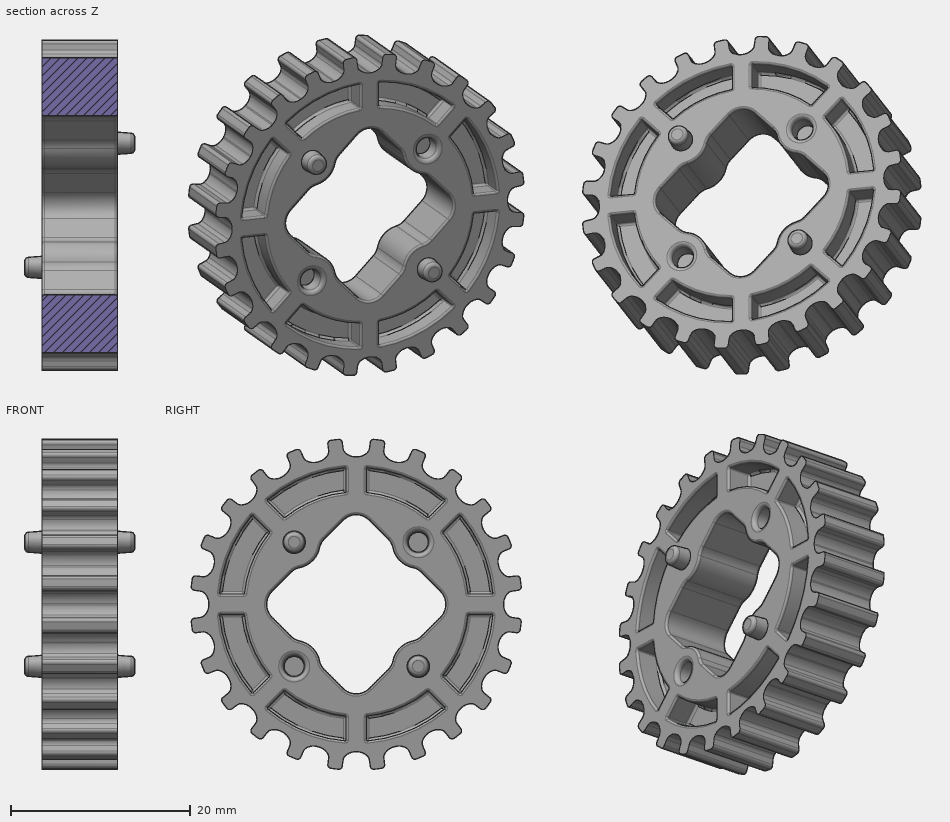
import cadquery as cq
import math

overall_length = 12.3
body_width = 8.45
half_width = body_width / 2
tooth_extent = 18.42

tooth_count = 24
groove_root_distance = 16.45
root_flat_half_width = 0.07
root_arc_radius = 1.7
root_arc_end = 1.18
shoulder_radius = 0.8
flank_tilt = math.radians(10)
groove_half_width = 1.55
tip_round = 0.4

bore_flat_distance = 7.65
bore_corner_reach = 10.0
bulge_radius = 2.9
bulge_blend = 1.85
mouth_round = 0.25

pin_offset = 6.93
pin_length = (overall_length - body_width) / 2
pin_base_radius = 1.25
pin_end_radius = 1.1
pin_end_round = 0.48
socket_radius = 1.2
socket_floor_radius = 1.1
socket_depth = 2.2
socket_mouth_round = 0.5

pocket_count = 8
pocket_inner_radius = 12.53
pocket_outer_radius = 15.3
pocket_depth = 3.0
spoke_half_width = 1.15
pocket_floor_round = 0.3
pocket_corner_round = 0.1

both_faces = (0, 180)


def turned(point, angle):
    """Rotate a (y, z) point about the pulley axis by an angle in radians."""
    y, z = point
    return (
        y * math.cos(angle) - z * math.sin(angle),
        y * math.sin(angle) + z * math.cos(angle),
    )


def mirrored(point):
    """Mirror a (y, z) point across the line y = 0."""
    return (-point[0], point[1])


def on_arc(center, radius, angle):
    """Point on a circle, with the angle measured from +z towards +y."""
    return (center[0] + radius * math.sin(angle), center[1] + radius * math.cos(angle))


def toothed_body():
    """Rim outline, made of one groove and one tooth tip per pitch, extruded over the body width."""
    pitch = 2 * math.pi / tooth_count

    root_center = (root_flat_half_width, groove_root_distance + root_arc_radius)
    root_end_angle = math.pi - math.asin((root_arc_end - root_flat_half_width) / root_arc_radius)
    root_start = (root_flat_half_width, groove_root_distance)
    root_middle = on_arc(root_center, root_arc_radius, (math.pi + root_end_angle) / 2)
    root_end = on_arc(root_center, root_arc_radius, root_end_angle)

    shoulder_center = on_arc(root_center, root_arc_radius - shoulder_radius, root_end_angle)
    shoulder_end_angle = math.pi / 2 + flank_tilt
    shoulder_middle = on_arc(shoulder_center, shoulder_radius, (root_end_angle + shoulder_end_angle) / 2)
    shoulder_end = on_arc(shoulder_center, shoulder_radius, shoulder_end_angle)

    tip_center = (groove_half_width + tip_round, tooth_extent - tip_round)
    tip_angle = math.atan2(*tip_center)
    outer_radius = math.hypot(*tip_center) + tip_round
    tip_start = (groove_half_width, tip_center[1])
    tip_middle = on_arc(tip_center, tip_round, (tip_angle - math.pi / 2) / 2)
    tip_end = on_arc(tip_center, tip_round, tip_angle)

    first_point = mirrored(tip_end)
    outline = cq.Workplane("YZ", origin=(-half_width, 0, 0)).moveTo(*first_point)
    for index in range(tooth_count):
        angle = -index * pitch

        def at(point):
            return turned(point, angle)

        outline = (
            outline.threePointArc(at(mirrored(tip_middle)), at(mirrored(tip_start)))
            .lineTo(*at(mirrored(shoulder_end)))
            .threePointArc(at(mirrored(shoulder_middle)), at(mirrored(root_end)))
            .threePointArc(at(mirrored(root_middle)), at(mirrored(root_start)))
            .lineTo(*at(root_start))
            .threePointArc(at(root_middle), at(root_end))
            .threePointArc(at(shoulder_middle), at(shoulder_end))
            .lineTo(*at(tip_start))
            .threePointArc(at(tip_middle), at(tip_end))
            .threePointArc(
                turned((0, outer_radius), angle - pitch / 2),
                turned(first_point, angle - pitch),
            )
        )
    return outline.close().extrude(body_width)


def bore_cutter():
    """Four equal sides; each runs from one corner round, past a bulge, to the next corner round."""
    diagonal = math.sqrt(2)
    corner_center = (bore_corner_reach - bore_flat_distance) / (1 - 1 / diagonal)

    flat_end = (corner_center / diagonal, bore_flat_distance)
    bulge_center = pin_offset * diagonal
    blend_center = bore_flat_distance - bulge_blend
    blend_along = math.sqrt((bulge_radius + bulge_blend) ** 2 - (bulge_center - blend_center) ** 2)
    blend_start = (blend_along, bore_flat_distance)
    blend_tilt = math.atan2(blend_along, bulge_center - blend_center)
    blend_middle = on_arc((blend_along, blend_center), bulge_blend, -blend_tilt / 2)
    bulge_end = on_arc((0, bulge_center), bulge_radius, math.pi - blend_tilt)
    bulge_top = (0, bulge_center - bulge_radius)

    outline = cq.Workplane("YZ", origin=(-half_width, 0, 0))
    first_side_angle = -math.pi / 4
    outline = outline.moveTo(*turned(mirrored(flat_end), first_side_angle))
    for index in range(4):
        angle = first_side_angle - index * math.pi / 2

        def at(point):
            return turned(point, angle)

        outline = (
            outline.lineTo(*at(mirrored(blend_start)))
            .threePointArc(at(mirrored(blend_middle)), at(mirrored(bulge_end)))
            .threePointArc(at(bulge_top), at(bulge_end))
            .threePointArc(at(blend_middle), at(blend_start))
            .lineTo(*at(flat_end))
            .threePointArc(
                turned((0, bore_corner_reach), angle - math.pi / 4),
                turned(mirrored(flat_end), angle - math.pi / 2),
            )
        )
    return outline.close().extrude(body_width)


def pocket_cutter():
    """One pocket cut inwards from the -X face, between two neighbouring spokes."""
    spoke_angle = 2 * math.pi / pocket_count

    def beside_first_spoke(radius):
        return (spoke_half_width, math.sqrt(radius**2 - spoke_half_width**2))

    def beside_second_spoke(radius):
        return turned(mirrored(beside_first_spoke(radius)), -spoke_angle)

    def middle(radius):
        return turned((0, radius), -spoke_angle / 2)

    return (
        cq.Workplane("YZ", origin=(-half_width, 0, 0))
        .moveTo(*beside_first_spoke(pocket_inner_radius))
        .lineTo(*beside_first_spoke(pocket_outer_radius))
        .threePointArc(middle(pocket_outer_radius), beside_second_spoke(pocket_outer_radius))
        .lineTo(*beside_second_spoke(pocket_inner_radius))
        .threePointArc(middle(pocket_inner_radius), beside_first_spoke(pocket_inner_radius))
        .close()
        .extrude(pocket_depth)
        .edges("|X")
        .fillet(pocket_corner_round)
        .faces(">X")
        .edges()
        .fillet(pocket_floor_round)
    )


def pin():
    """Tapered pin standing out from the -X face at +Y +Z, with a rounded end."""
    taper = math.degrees(math.atan((pin_base_radius - pin_end_radius) / pin_length))
    return (
        cq.Workplane("YZ", origin=(-half_width, pin_offset, pin_offset))
        .circle(pin_base_radius)
        .extrude(-pin_length, taper=taper)
        .faces("<X")
        .edges()
        .fillet(pin_end_round)
    )


def socket_cutter():
    """Tapered blind hole in the -X face at -Y +Z, with a rounded mouth."""
    mouth_radius = socket_radius + socket_mouth_round
    round_middle = socket_mouth_round * (1 - math.sqrt(0.5))
    return (
        cq.Workplane("XY")
        .moveTo(-half_width, 0)
        .lineTo(-half_width, mouth_radius)
        .threePointArc(
            (-half_width + round_middle, socket_radius + round_middle),
            (-half_width + socket_mouth_round, socket_radius),
        )
        .lineTo(-half_width + socket_depth, socket_floor_radius)
        .lineTo(-half_width + socket_depth, 0)
        .close()
        .revolve(360, (0, 0, 0), (1, 0, 0))
        .translate((0, -pin_offset, pin_offset))
    )


def about_x(shape, angle):
    return shape.rotate((0, 0, 0), (1, 0, 0), angle)


def about_z(shape, angle):
    return shape.rotate((0, 0, 0), (0, 0, 1), angle)


body = toothed_body().cut(bore_cutter())

pocket = pocket_cutter()
for face in both_faces:
    for index in range(pocket_count):
        body = body.cut(about_z(about_x(pocket, index * 360 / pocket_count), face))

for face in ("<X", ">X"):
    mouths = body.faces(face).val().innerWires()
    mouth_edges = [edge for wire in mouths for edge in wire.Edges()]
    body = body.newObject(mouth_edges).fillet(mouth_round)

socket = socket_cutter()
locating_pin = pin()
for face in both_faces:
    for half_turn in (0, 180):
        body = body.cut(about_z(about_x(socket, half_turn), face))
        body = body.union(about_z(about_x(locating_pin, half_turn), face))

result = body